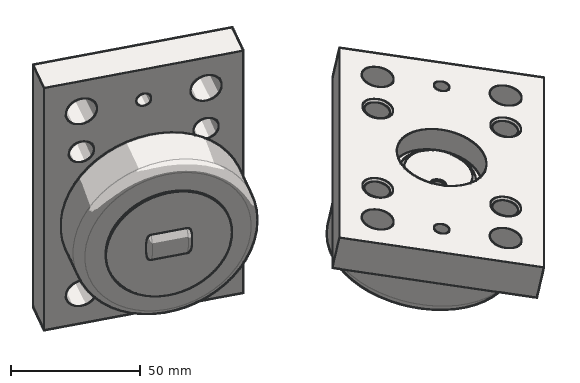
import cadquery as cq
import math

plate_thickness = 15.0
plate_width = 80.0
plate_height = 120.0

hole_spacing_y = 50.0
outer_spacing_z = 90.0
inner_spacing_z = hole_spacing_y
bolt_hole_diameter = 12.5
dowel_hole_diameter = 6.0
threaded_hole_diameter = 10.1
threaded_hole_chamfer = 1.0

recess_diameter = 35.0
recess_depth = 10.0
pin_diameter = 30.0
pin_end_depth = 7.0
pin_chamfer = 1.7

pin_hole_offset = 7.9
pin_hole_diameter = 5.0
pin_hole_chamfer = 0.5
pin_hole_depth = 12.0
drill_tip_angle = 118.0

post_radius = 24.0
shoulder_radius = 25.3
shoulder_start = 24.0
roller_radius = 37.0
roller_start = 25.5
roller_end = 48.4
roller_back_fillet = 1.7
roller_front_fillet = 4.0
crown_start = 47.6
crown_bulge = 0.1
crown_edge_slope = 0.1
cap_end = 49.1

overall_depth = 51.0
axial_roller_radius = 11.0
axial_roller_length = 18.5
axial_roller_fillet = 2.0


def drill(x_start, depth, diameter, points):
    """Cylinders along +X at the given (y, z) points."""
    return (
        cq.Workplane("YZ", origin=(x_start, 0, 0))
        .pushPoints(points)
        .circle(diameter / 2)
        .extrude(depth)
    )


def countersink(x_start, diameter, chamfer, points):
    """Cones that widen holes at the given (y, z) points by the chamfer at x_start."""
    radius = diameter / 2
    cones = cq.Workplane("YZ")
    for y, z in points:
        mouth = cq.Vector(x_start, y, z)
        cones.add(cq.Solid.makeCone(radius + chamfer, radius, chamfer, mouth, cq.Vector(1, 0, 0)))
    return cones.combine()


def corner_points(spacing_z):
    return [(sy * hole_spacing_y / 2, sz * spacing_z / 2) for sy in (-1, 1) for sz in (-1, 1)]


def make_plate():
    plate = cq.Workplane("XY").box(
        plate_thickness, plate_width, plate_height, centered=(False, True, True)
    )
    dowel_points = [(0, -outer_spacing_z / 2), (0, outer_spacing_z / 2)]
    threaded_points = corner_points(inner_spacing_z)
    plate = plate.cut(drill(0, plate_thickness, bolt_hole_diameter, corner_points(outer_spacing_z)))
    plate = plate.cut(drill(0, plate_thickness, dowel_hole_diameter, dowel_points))
    plate = plate.cut(drill(0, plate_thickness, threaded_hole_diameter, threaded_points))
    return plate.cut(countersink(0, threaded_hole_diameter, threaded_hole_chamfer, threaded_points))


def make_bearing():
    """Post, shoulder, roller and cap as one revolved profile."""
    back_arc_mid = roller_back_fillet * (1 - math.sqrt(0.5))
    front_sweep = math.pi / 2 - math.atan(crown_edge_slope)
    front_arc_start = crown_start - roller_front_fillet * math.sin(front_sweep)

    def front_arc_point(angle):
        return (
            front_arc_start + roller_front_fillet * math.sin(angle),
            roller_radius - roller_front_fillet * (1 - math.cos(angle)),
        )

    crown_edge = front_arc_point(front_sweep)
    crown_middle = (
        (crown_start + roller_end) / 2 + crown_bulge,
        (crown_edge[1] + shoulder_radius) / 2,
    )
    return (
        cq.Workplane("XY")
        .moveTo(plate_thickness, 0)
        .lineTo(plate_thickness, post_radius)
        .lineTo(shoulder_start, post_radius)
        .lineTo(shoulder_start, shoulder_radius)
        .lineTo(roller_start, shoulder_radius)
        .lineTo(roller_start, roller_radius - roller_back_fillet)
        .threePointArc(
            (roller_start + back_arc_mid, roller_radius - back_arc_mid),
            (roller_start + roller_back_fillet, roller_radius),
        )
        .lineTo(front_arc_start, roller_radius)
        .threePointArc(front_arc_point(front_sweep / 2), crown_edge)
        .threePointArc(crown_middle, (roller_end, shoulder_radius))
        .lineTo(cap_end, shoulder_radius)
        .lineTo(cap_end, 0)
        .close()
        .revolve(360, (0, 0, 0), (1, 0, 0))
    )


def make_axial_roller():
    return (
        cq.Workplane("XZ", origin=(overall_depth - axial_roller_radius, 0, 0))
        .circle(axial_roller_radius)
        .extrude(axial_roller_length / 2, both=True)
        .edges()
        .fillet(axial_roller_fillet)
    )


def make_pin_end():
    """Chamfered pin reaching from the plate's front face back into the recess."""
    return (
        drill(pin_end_depth, plate_thickness - pin_end_depth, pin_diameter, [(0, 0)])
        .faces("<X")
        .chamfer(pin_chamfer)
    )


def make_pin_hole():
    """Blind hole with a chamfered mouth and a conical drill tip."""
    radius = pin_hole_diameter / 2
    points = [(0, -pin_hole_offset)]
    tip_length = radius / math.tan(math.radians(drill_tip_angle / 2))
    tip = cq.Solid.makeCone(
        radius, 0, tip_length,
        cq.Vector(pin_end_depth + pin_hole_depth, 0, -pin_hole_offset), cq.Vector(1, 0, 0),
    )
    return (
        drill(pin_end_depth, pin_hole_depth, pin_hole_diameter, points)
        .union(countersink(pin_end_depth, pin_hole_diameter, pin_hole_chamfer, points))
        .union(cq.Workplane(tip))
    )


result = (
    make_plate()
    .union(make_bearing())
    .union(make_axial_roller())
    .cut(drill(0, recess_depth, recess_diameter, [(0, 0)]))
    .union(make_pin_end())
    .cut(make_pin_hole())
)